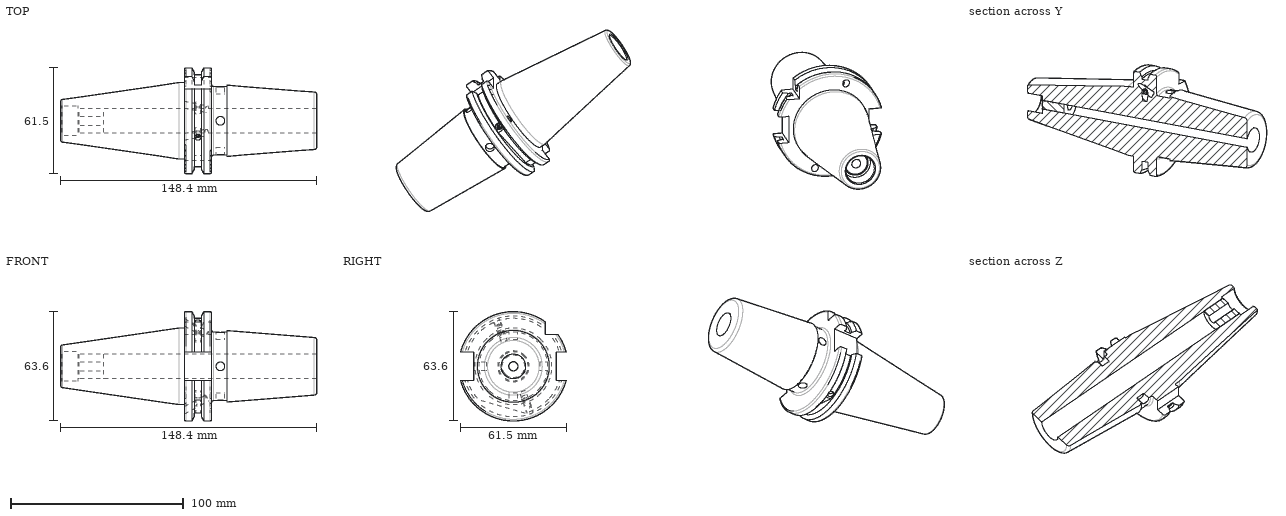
import cadquery as cq
import math


total_length = 148.4
gauge_x = 68.4
gauge_radius = 22.3
taper_slope = 7 / 48
taper_end_radius = gauge_radius - gauge_x * taper_slope
taper_end_fillet = 1.0

flange_x = 71.5
flange_width = 15.9
flange_end_x = flange_x + flange_width
flange_radius = 31.8
rim_fillet = 1.0
groove_x = 79.4
groove_floor_radius = 27.9
groove_floor_width = 4.0
groove_wall_radius = 29.2
groove_wall_angle = 30.0

collar_radius = 19.9
collar_end_x = 96.2
collar_fillet = 1.2
nose_radius = 20.8
nose_end_radius = 16.6
nose_end_fillet = 1.8

counterbore_radius = 8.5
counterbore_depth = 10.0
counterbore_chamfer = 0.6
bore_radius = 7.1

drive_slot_width = 16.3
front_slot_floor = 23.0
rear_slot_floor = 25.0
notch_edge = 18.5
groove_flat_distance = 24.2
groove_flat_angle = 16.0

channel_angle = 20.0
channel_radius = 2.0
channel_face_radius = 27.2
channel_tilt = 30.0
channel_end_x = 84.6
screw_hole_radius = 1.8
screw_recess = 6.5
screw_length = 6.0
socket_width = 2.0
socket_depth = 2.0

balance_hole_x = 92.5
balance_hole_radius = 2.5
balance_hole_depth = 4.5
balance_hole_count = 4

stop_screw_length = 14.8
stop_screw_chamfer = 0.6
stop_screw_hole_radius = 2.6


def revolve_about_axis(outline):
    return outline.close().revolve(360, (0, 0, 0), (1, 0, 0))


def turned_body():
    outline = (
        cq.Workplane("XZ")
        .lineTo(0, taper_end_radius)
        .lineTo(gauge_x, gauge_radius)
        .lineTo(flange_x, gauge_radius)
        .lineTo(flange_x, flange_radius - rim_fillet)
        .radiusArc((flange_x + rim_fillet, flange_radius), rim_fillet)
        .lineTo(flange_end_x - rim_fillet, flange_radius)
        .radiusArc((flange_end_x, flange_radius - rim_fillet), rim_fillet)
        .lineTo(flange_end_x, collar_radius + collar_fillet)
        .radiusArc((flange_end_x + collar_fillet, collar_radius), -collar_fillet)
        .lineTo(collar_end_x, collar_radius)
        .lineTo(collar_end_x, nose_radius)
        .lineTo(total_length, nose_end_radius)
        .lineTo(total_length, 0)
    )
    body = revolve_about_axis(outline)
    return body.faces("<X").edges().fillet(taper_end_fillet).faces(">X").edges().fillet(nose_end_fillet)


def gripper_groove():
    half_floor = groove_floor_width / 2
    half_mouth = half_floor + (flange_radius - groove_wall_radius) * math.tan(math.radians(groove_wall_angle))
    outline = (
        cq.Workplane("XZ")
        .moveTo(groove_x - half_floor, groove_floor_radius)
        .lineTo(groove_x - half_floor, groove_wall_radius)
        .lineTo(groove_x - half_mouth, flange_radius)
        .lineTo(groove_x + half_mouth, flange_radius)
        .lineTo(groove_x + half_floor, groove_wall_radius)
        .lineTo(groove_x + half_floor, groove_floor_radius)
    )
    return revolve_about_axis(outline)


def groove_flat():
    cutter = (
        cq.Workplane("XY")
        .box(groove_floor_width, 2 * flange_radius, flange_radius)
        .translate((groove_x, 0, -groove_flat_distance - flange_radius / 2))
    )
    return cutter.rotate((0, 0, 0), (1, 0, 0), -groove_flat_angle)


def axial_bore():
    outline = (
        cq.Workplane("XZ")
        .lineTo(0, counterbore_radius + counterbore_chamfer)
        .lineTo(counterbore_chamfer, counterbore_radius)
        .lineTo(counterbore_depth, counterbore_radius)
        .lineTo(counterbore_depth, bore_radius)
        .lineTo(total_length, bore_radius)
        .lineTo(total_length, 0)
    )
    return revolve_about_axis(outline)


def flange_cut(y_start, y_end, z_start, z_end):
    corner = (flange_x, y_start, z_start)
    block = cq.Workplane("XY").box(flange_width, y_end - y_start, z_end - z_start, centered=False)
    return block.translate(corner)


def drive_slots():
    half_width = drive_slot_width / 2
    front_slot = flange_cut(-flange_radius, -front_slot_floor, -half_width, half_width)
    rear_slot = flange_cut(rear_slot_floor, flange_radius, -half_width, half_width)
    return front_slot.union(rear_slot)


def corner_notch():
    return flange_cut(notch_edge, flange_radius, notch_edge, flange_radius)


def turned_to_channels(shape):
    """Copies of a shape made above the axis, one turned to each of the two coolant channels."""
    return [shape.rotate((0, 0, 0), (1, 0, 0), channel_angle + turn) for turn in (0, 180)]


def coolant_channel():
    tilt = math.radians(channel_tilt)
    run = channel_end_x - flange_x
    direction = cq.Vector(math.cos(tilt), 0, -math.sin(tilt))
    mouth = cq.Vector(flange_x, 0, channel_face_radius)
    start = mouth - direction * channel_radius
    length = run / math.cos(tilt) + channel_radius
    return cq.Workplane(cq.Solid.makeCylinder(channel_radius, length, start, direction))


def screw_top():
    return groove_floor_radius - screw_recess


def screw_hole():
    bottom = screw_top() - screw_length
    return (
        cq.Workplane("XY", origin=(groove_x, 0, bottom))
        .circle(screw_hole_radius)
        .extrude(groove_wall_radius - bottom)
    )


def set_screw():
    socket_diameter = socket_width / math.cos(math.pi / 6)
    return (
        cq.Workplane("XY", origin=(groove_x, 0, screw_top()))
        .circle(screw_hole_radius)
        .extrude(-screw_length)
        .faces(">Z")
        .workplane()
        .polygon(6, socket_diameter)
        .cutBlind(-socket_depth)
    )


def balance_holes():
    hole = (
        cq.Workplane("XY", origin=(balance_hole_x, 0, collar_radius - balance_hole_depth))
        .circle(balance_hole_radius)
        .extrude(2 * balance_hole_depth)
    )
    step = 360 / balance_hole_count
    return [hole.rotate((0, 0, 0), (1, 0, 0), step * place) for place in range(balance_hole_count)]


def make_holder():
    cutters = [gripper_groove(), groove_flat(), drive_slots(), corner_notch(), axial_bore()]
    cutters += turned_to_channels(coolant_channel())
    cutters += turned_to_channels(screw_hole())
    cutters += balance_holes()
    holder = turned_body()
    for cutter in cutters:
        holder = holder.cut(cutter)
    return holder


def make_stop_screw():
    return (
        cq.Workplane("YZ", origin=(counterbore_depth, 0, 0))
        .circle(bore_radius)
        .extrude(stop_screw_length)
        .faces("<X")
        .chamfer(stop_screw_chamfer)
        .faces("<X")
        .workplane()
        .hole(2 * stop_screw_hole_radius)
    )


holder = make_holder()
set_screws = turned_to_channels(set_screw())
stop_screw = make_stop_screw()

result = cq.Compound.makeCompound([holder.val(), *[screw.val() for screw in set_screws], stop_screw.val()])